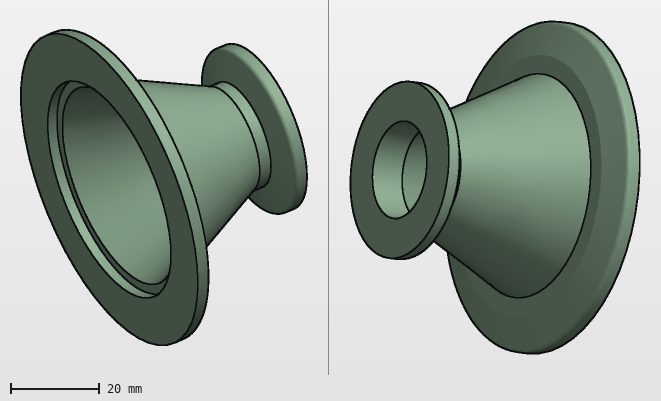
import cadquery as cq
import math

length = 40.0
large_flange_radius = 37.5
small_flange_radius = 20.0

rim_width = 3.1
rim_rounding = 1.0
back_slope = math.tan(math.radians(15))
large_flange_thickness = 5.2

neck_radius = 12.75
neck_length = 3.0
cone_base_radius = 25.35

bore_radius = 11.0
bore_cone_radius = 23.8
recess_radius = 26.1
recess_depth = 2.5

small_rim_start = length - rim_width
neck_top = small_rim_start - (small_flange_radius - neck_radius) * back_slope
neck_bottom = neck_top - neck_length
large_back_radius = large_flange_radius - (large_flange_thickness - rim_width) / back_slope


def revolve_profile(points):
    """Revolve a closed (radius, Y) outline about the Y axis."""
    return cq.Workplane("XY").polyline(points).close().revolve(360, (0, 0, 0), (0, 1, 0))


def round_rim(body, radius, position):
    """Round the circular edge where a flange rim meets its sloping back."""
    tolerance = 0.1
    corner = cq.selectors.BoxSelector(
        (-radius - tolerance, position - tolerance, -radius - tolerance),
        (radius + tolerance, position + tolerance, radius + tolerance),
        boundingbox=True,
    )
    return body.edges(corner).fillet(rim_rounding)


outer_body = revolve_profile([
    (0, 0),
    (large_flange_radius, 0),
    (large_flange_radius, rim_width),
    (large_back_radius, large_flange_thickness),
    (cone_base_radius, large_flange_thickness),
    (neck_radius, neck_bottom),
    (neck_radius, neck_top),
    (small_flange_radius, small_rim_start),
    (small_flange_radius, length),
    (0, length),
])
outer_body = round_rim(outer_body, large_flange_radius, rim_width)
outer_body = round_rim(outer_body, small_flange_radius, small_rim_start)

passage = revolve_profile([
    (0, 0),
    (recess_radius, 0),
    (recess_radius, recess_depth),
    (bore_cone_radius, recess_depth),
    (bore_radius, neck_bottom),
    (bore_radius, length),
    (0, length),
])

result = outer_body.cut(passage)